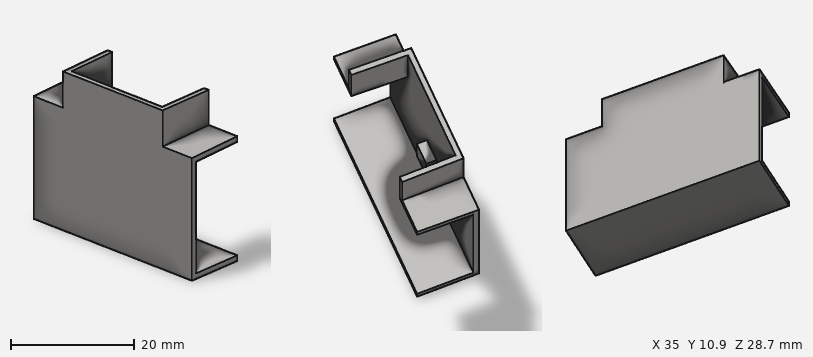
import math

import cadquery as cq

run_length = 35.0
overall_depth = 10.9
overall_height = 28.69
channel_width = 22.0
wall = 1.0
draft_angle = 1.0
block_size = 4.0
block_height = 1.8

draft_slope = math.tan(math.radians(draft_angle))
bottom_flare = overall_depth * draft_slope
branch_end = overall_height - bottom_flare
run_center = channel_width / 2
inner_width = channel_width - 2 * wall


def flared_profile(plane, center, base_width, base_y):
    """Trapezoid in a plane whose second axis is Y, widening from base_y to the rims."""
    half_base = base_width / 2
    half_rim = half_base + (overall_depth - base_y) * draft_slope
    corners = [
        (center - half_base, base_y),
        (center + half_base, base_y),
        (center + half_rim, overall_depth),
        (center - half_rim, overall_depth),
    ]
    return cq.Workplane(plane).polyline(corners).close()


def tee(base_width, base_y):
    """Straight drafted prism along X joined by a branch rising along Z."""
    run_plane = cq.Plane(origin=(-run_length / 2, 0, 0), xDir=(0, 0, 1), normal=(-1, 0, 0))
    run = flared_profile(run_plane, run_center, base_width, base_y).extrude(-run_length)
    branch_plane = cq.Plane(origin=(0, 0, run_center), xDir=(1, 0, 0), normal=(0, 0, 1))
    branch_length = branch_end - run_center
    branch = flared_profile(branch_plane, 0, base_width, base_y).extrude(branch_length)
    return run.union(branch)


def locating_block():
    """Square block standing on the inner face of the plate, centred in the run."""
    block = cq.Workplane("XY").box(block_size, wall + block_height, block_size, centered=(True, False, True))
    return block.translate((0, 0, run_center))


outer_body = tee(channel_width, 0)
open_channel = tee(inner_width, wall)
result = outer_body.cut(open_channel).union(locating_block())